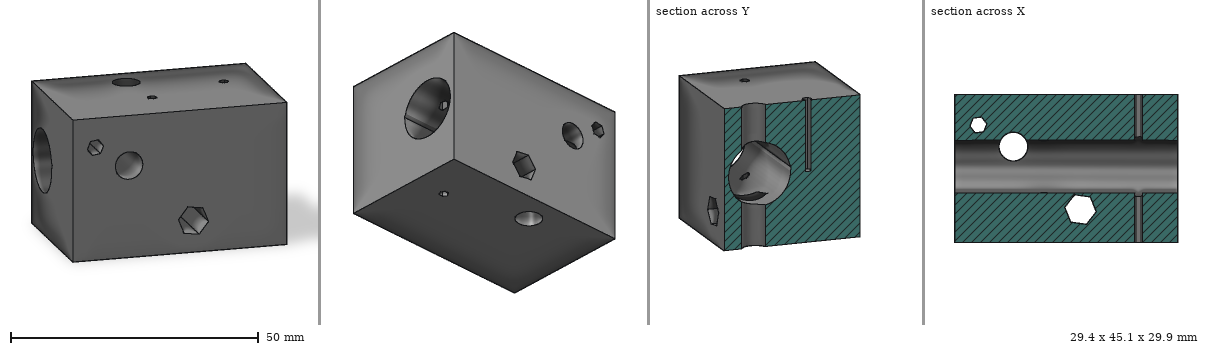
import cadquery as cq
import math

length_x = 29.35
length_y = 45.05
length_z = 29.9

bore_diameter = 13.25
bore_x = 7.65
bore_z = 15.3

groove_depth = 0.23
groove_angle = 7.0
groove_half_angle = 6.5

top_hole_diameter = 5.6
top_hole_x = 6.35
top_hole_y = 18.0
side_hole_diameter = 5.75
side_hole_y = 11.85
side_hole_z = 19.35

pin_hex_size = 2.0
through_pin_x = 11.2
through_pin_y = 37.1
through_pin_angle = 92.0
blind_pin_x = 18.15
blind_pin_y = 20.0
blind_pin_angle = 0.0
blind_pin_depth = length_z / 2

small_hex_size = 3.4
small_hex_y = 4.77
small_hex_z = 23.75
small_hex_angle = 8.0
large_hex_size = 6.4
large_hex_y = 25.4
large_hex_z = 6.65
large_hex_angle = -8.0


def hex_prism(size_across_corners, angle, depth):
    """Hexagonal prism rising from the origin along Z, turned by angle degrees."""
    prism = cq.Workplane("XY").polygon(6, size_across_corners).extrude(depth)
    return prism.rotate((0, 0, 0), (0, 0, 1), angle)


def along_x(cutter):
    """Turn a cutter so its Z axis lies along X and its X axis along Y."""
    return cutter.rotate((0, 0, 0), (1, 1, 1), 120)


def bore_point(radius, angle):
    """X and Z of a point at the given radius and angle about the bore axis."""
    turn = math.radians(angle)
    return (bore_x + radius * math.cos(turn), bore_z + radius * math.sin(turn))


def cylinder(diameter, depth):
    """Cylinder rising from the origin along Z."""
    return cq.Workplane("XY").circle(diameter / 2).extrude(depth)


block = cq.Workplane("XY").box(length_x, length_y, length_z, centered=False)

bore_radius = bore_diameter / 2
bore = cq.Workplane("XZ").center(bore_x, bore_z).circle(bore_radius).extrude(-length_y)
groove_outline = [
    bore_point(bore_radius, groove_angle - groove_half_angle),
    bore_point(bore_radius + groove_depth, groove_angle),
    bore_point(bore_radius, groove_angle + groove_half_angle),
]
groove = cq.Workplane("XZ").polyline(groove_outline).close().extrude(-length_y)

top_hole = cylinder(top_hole_diameter, length_z).translate((top_hole_x, top_hole_y, 0))
side_hole = along_x(cylinder(side_hole_diameter, length_x))
side_hole = side_hole.translate((0, side_hole_y, side_hole_z))

through_pin = hex_prism(pin_hex_size, through_pin_angle, length_z)
through_pin = through_pin.translate((through_pin_x, through_pin_y, 0))
blind_pin = hex_prism(pin_hex_size, blind_pin_angle, blind_pin_depth)
blind_pin = blind_pin.translate((blind_pin_x, blind_pin_y, length_z - blind_pin_depth))

small_hex = along_x(hex_prism(small_hex_size, small_hex_angle, length_x))
small_hex = small_hex.translate((0, small_hex_y, small_hex_z))
large_hex = along_x(hex_prism(large_hex_size, large_hex_angle, length_x))
large_hex = large_hex.translate((0, large_hex_y, large_hex_z))

result = block
for cutter in (bore, groove, top_hole, side_hole, through_pin, blind_pin, small_hex, large_hex):
    result = result.cut(cutter)